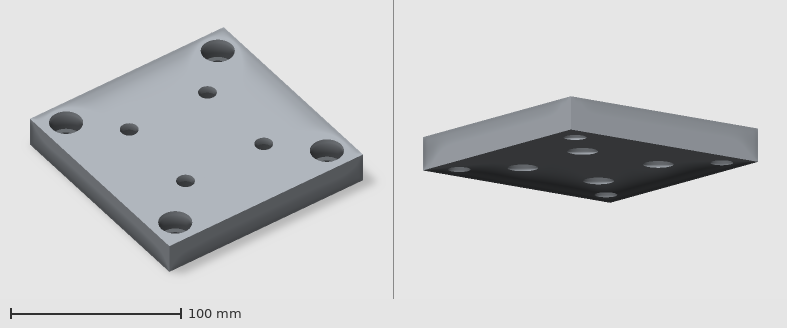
import cadquery as cq

plate_side = 140.0
plate_thickness = 20.0

corner_spacing = 109.6
corner_hole_diameter = 13.5
corner_counterbore_diameter = 20.0
corner_counterbore_depth = 13.5

inner_spacing = 56.5
inner_hole_diameter = 11.0
inner_counterbore_diameter = 18.0
inner_web_thickness = 5.0
inner_counterbore_depth = plate_thickness - inner_web_thickness


def drill_square(body, face, spacing, diameter, counterbore_diameter, counterbore_depth):
    """Drill four counterbored holes at the corners of a centred square on a face."""
    points = body.faces(face).workplane(origin=(0, 0, 0)).rarray(spacing, spacing, 2, 2)
    return points.cboreHole(diameter, counterbore_diameter, counterbore_depth)


plate = cq.Workplane("XY").box(plate_side, plate_side, plate_thickness)
plate = drill_square(
    plate, ">Z", corner_spacing,
    corner_hole_diameter, corner_counterbore_diameter, corner_counterbore_depth,
)
result = drill_square(
    plate, "<Z", inner_spacing,
    inner_hole_diameter, inner_counterbore_diameter, inner_counterbore_depth,
)